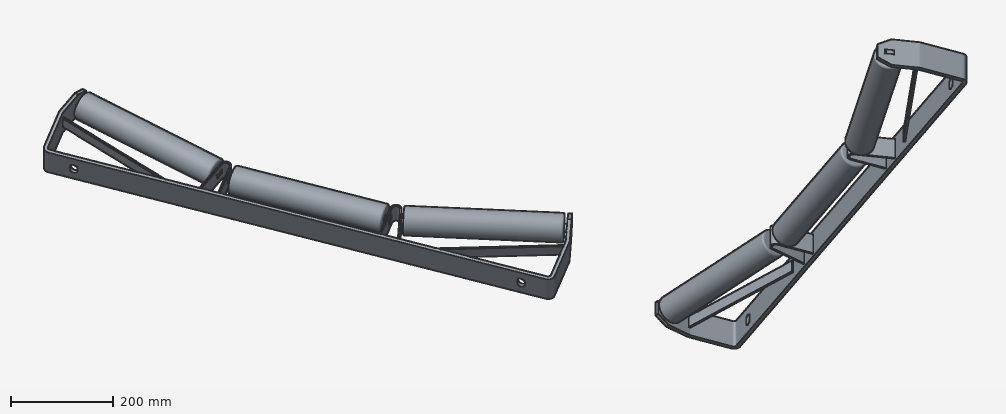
import cadquery as cq
import math

length = 1050.0
height = 187.0
width = 60.0
tilt = 15.0

frame_thickness = 8.0
bend_radius = 14.0
bend_height = 106.0
tip_chamfer_width = 15.0
tip_chamfer_length = 27.0
mounting_slot_inset = 65.0
mounting_slot_width = 16.0
mounting_slot_height = 23.0

drum_diameter = 59.0
drum_length = 314.0
drum_edge_radius = 4.0
shaft_diameter = 17.0
shaft_flat_width = 9.0
centre_roller_y = 71.0
wing_roller_x = 344.0
wing_roller_y = 119.0

slot_clearance = 2.0

bracket_thickness = 3.7
bracket_width = 44.0
bracket_fold_radius = 12.0
bracket_face_x = 164.0
bracket_top = 95.0

brace_thickness = 4.0
brace_width = 25.0
brace_foot_x = 254.0
brace_head_y = 105.0

sin_tilt = math.sin(math.radians(tilt))
cos_tilt = math.cos(math.radians(tilt))
tan_tilt = math.tan(math.radians(tilt))
leg_outer_x = -length / 2
leg_inner_x = leg_outer_x + frame_thickness
inner_bend_height = bend_height - frame_thickness * math.tan(math.radians(tilt / 2))
leg_tip_x = leg_outer_x + (height - bend_height) * tan_tilt
fold_x = -bracket_face_x - bracket_fold_radius
fold_y = bracket_top - bracket_fold_radius
fold_inner_radius = bracket_fold_radius - bracket_thickness


def along_wing_axis(x, y):
    """Distance of (x, y) from the left wing roller's middle, measured along its axis."""
    return (x + wing_roller_x) * cos_tilt - (y - wing_roller_y) * sin_tilt


centre_shaft_end = bracket_face_x + bracket_thickness
wing_shaft_start = along_wing_axis(leg_tip_x, height)
wing_shaft_end = along_wing_axis(fold_x, fold_y) - fold_inner_radius


def prism(outline, depth):
    """Extrude an XY outline by the given depth, centred on Z = 0."""
    return outline.extrude(depth).translate((0, 0, -depth / 2))


def mirrored(body):
    """Copy of a left-hand body on the right-hand side."""
    return body.mirror("YZ")


def place_centre(body):
    """Move a body from the origin to the centre roller's place."""
    return body.translate((0, centre_roller_y, 0))


def place_wing(body):
    """Turn and move a body from the origin to the left wing roller's place."""
    return body.rotate((0, 0, 0), (0, 0, 1), -tilt).translate((-wing_roller_x, wing_roller_y, 0))


def roller(shaft_start, shaft_end, start_plate, end_plate):
    """Drum and shaft along X; the shaft is flatted where it passes through the two plates."""
    drum = (
        cq.Workplane("YZ", origin=(-drum_length / 2, 0, 0))
        .circle(drum_diameter / 2)
        .extrude(drum_length)
        .edges()
        .fillet(drum_edge_radius)
    )
    shaft = (
        cq.Workplane("YZ", origin=(shaft_start, 0, 0))
        .circle(shaft_diameter / 2)
        .extrude(shaft_end - shaft_start)
    )
    for plate_start, plate_end in (
        (shaft_start, shaft_start + start_plate),
        (shaft_end - end_plate, shaft_end),
    ):
        flat_length = plate_end - plate_start
        collar = cq.Workplane("XY").box(flat_length, shaft_diameter, shaft_diameter)
        flats = cq.Workplane("XY").box(flat_length, shaft_diameter, shaft_flat_width)
        shaft = shaft.cut(collar.cut(flats).translate(((plate_start + plate_end) / 2, 0, 0)))
    return drum.union(shaft)


centre_roller = place_centre(
    roller(-centre_shaft_end, centre_shaft_end, bracket_thickness, bracket_thickness)
)
left_roller = place_wing(
    roller(wing_shaft_start, wing_shaft_end, frame_thickness, bracket_thickness)
)


def shaft_slot(axis_position):
    """Rectangular cutter across the plate around one shaft end; the shaft rests on its lower side."""
    slot_length = shaft_diameter + slot_clearance
    cutter = cq.Workplane("XY").box(2 * frame_thickness, slot_length, shaft_flat_width)
    return cutter.translate((axis_position, slot_clearance / 2, 0))


def strip_profile():
    """Left half of the bent strip at full width."""
    outline = cq.Workplane("XY").polyline([
        (0, 0),
        (leg_outer_x, 0),
        (leg_outer_x, bend_height),
        (leg_tip_x, height),
        (leg_tip_x + frame_thickness * cos_tilt, height - frame_thickness * sin_tilt),
        (leg_inner_x, inner_bend_height),
        (leg_inner_x, frame_thickness),
        (0, frame_thickness),
    ]).close()
    strip = prism(outline, width)
    inner_radius = bend_radius - frame_thickness
    for x, y, radius in (
        (leg_outer_x, 0, bend_radius),
        (leg_inner_x, frame_thickness, inner_radius),
        (leg_outer_x, bend_height, bend_radius),
        (leg_inner_x, inner_bend_height, inner_radius),
    ):
        strip = strip.edges(cq.selectors.NearestToPointSelector((x, y, 0))).fillet(radius)
    return strip


def leg_tip_trim():
    """Cutter that takes the two corners off the leg tip, square to the leaning leg."""
    reach = 2 * frame_thickness
    edge = width / 2
    corners = cq.Workplane("YZ", origin=(-reach, 0, 0))
    for side in (1, -1):
        corners = corners.polyline([
            (0, side * edge),
            (0, side * (edge - tip_chamfer_width)),
            (-tip_chamfer_length, side * edge),
        ]).close()
    corners = corners.extrude(2 * reach)
    return corners.rotate((0, 0, 0), (0, 0, 1), -tilt).translate((leg_tip_x, height, 0))


def mounting_slot():
    """Upright slot cutter through the base near its left end."""
    return (
        cq.Workplane("XZ", origin=(leg_outer_x + mounting_slot_inset, frame_thickness, 0))
        .slot2D(mounting_slot_height, mounting_slot_width, 90)
        .extrude(frame_thickness)
    )


half_frame = (
    strip_profile()
    .cut(leg_tip_trim())
    .cut(mounting_slot())
    .cut(place_wing(shaft_slot(wing_shaft_start + frame_thickness / 2)))
)
frame = half_frame.union(mirrored(half_frame))


def fold_point(radius, angle):
    """Point of the left bracket's fold at an angle from +X."""
    turn = math.radians(angle)
    return (fold_x + radius * math.cos(turn), fold_y + radius * math.sin(turn))


def leaning_foot(radius):
    """Point on the base where the leaning leg's face tangent to a fold radius ends."""
    return (fold_x - radius / cos_tilt - (fold_y - frame_thickness) * tan_tilt, frame_thickness)


def folded_bracket():
    """Folded strip with an upright leg and a leg that leans with the left wing roller."""
    lean_angle = 180 - tilt
    outline = (
        cq.Workplane("XY")
        .moveTo(-bracket_face_x, frame_thickness)
        .lineTo(*fold_point(bracket_fold_radius, 0))
        .threePointArc(fold_point(bracket_fold_radius, 90), fold_point(bracket_fold_radius, lean_angle))
        .lineTo(*leaning_foot(bracket_fold_radius))
        .lineTo(*leaning_foot(fold_inner_radius))
        .lineTo(*fold_point(fold_inner_radius, lean_angle))
        .threePointArc(fold_point(fold_inner_radius, 90), fold_point(fold_inner_radius, 0))
        .lineTo(-centre_shaft_end, frame_thickness)
        .close()
    )
    centre_slot = place_centre(shaft_slot(bracket_thickness / 2 - centre_shaft_end))
    wing_slot = place_wing(shaft_slot(wing_shaft_end - bracket_thickness / 2))
    return prism(outline, bracket_width).cut(centre_slot).cut(wing_slot)


bracket = folded_bracket()


def diagonal_brace():
    """Diagonal strip, flush with the left leg at its head and cut square at its foot."""
    slope = math.atan2(brace_head_y - frame_thickness, -brace_foot_x - leg_inner_x)
    outline = cq.Workplane("XY").polyline([
        (-brace_foot_x, frame_thickness),
        (
            -brace_foot_x + brace_thickness * math.sin(slope),
            frame_thickness + brace_thickness * math.cos(slope),
        ),
        (leg_inner_x, brace_head_y + brace_thickness / math.cos(slope)),
        (leg_inner_x, brace_head_y),
    ]).close()
    return prism(outline, brace_width).cut(frame)


brace = diagonal_brace()

bodies = [frame, centre_roller]
for left_body in (left_roller, bracket, brace):
    bodies += [left_body, mirrored(left_body)]
result = cq.Compound.makeCompound([body.val() for body in bodies])